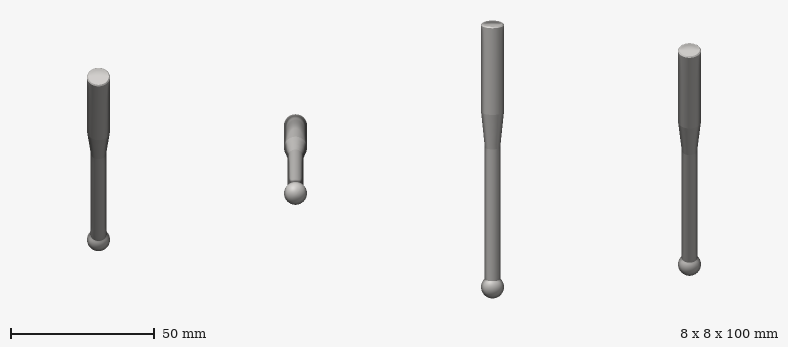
import cadquery as cq
import math

total_length = 100.0
shank_diameter = 8.0
ball_diameter = 8.0
neck_diameter = 5.4

shank_length = 32.0
taper_length = 13.0
shank_chamfer = 0.4

shank_radius = shank_diameter / 2
ball_radius = ball_diameter / 2
neck_radius = neck_diameter / 2
shank_bottom = total_length - shank_length
taper_bottom = shank_bottom - taper_length

ball_top = ball_radius + math.sqrt(ball_radius**2 - neck_radius**2)


def half_profile():
    """Closed half section in the XZ plane, from the ball tip up to the shank end."""
    return (
        cq.Workplane("XZ")
        .moveTo(0, 0)
        .threePointArc((ball_radius, ball_radius), (neck_radius, ball_top))
        .lineTo(neck_radius, taper_bottom)
        .lineTo(shank_radius, shank_bottom)
        .lineTo(shank_radius, total_length - shank_chamfer)
        .lineTo(shank_radius - shank_chamfer, total_length)
        .lineTo(0, total_length)
        .close()
    )


result = half_profile().revolve(360, (0, 0, 0), (0, 1, 0))